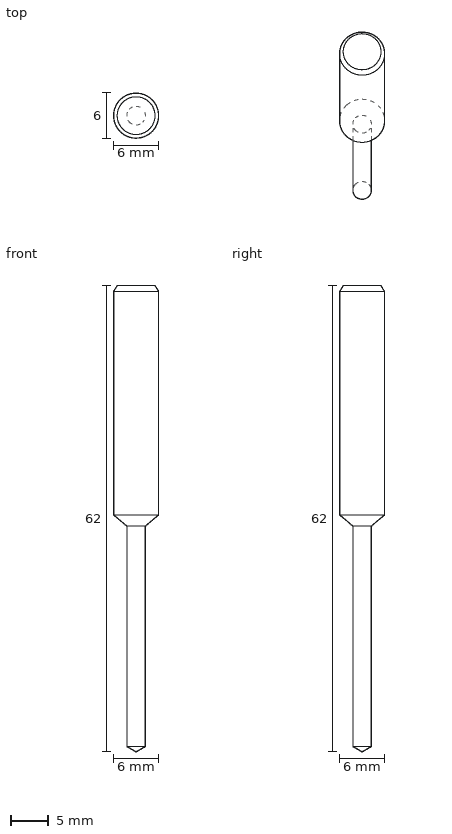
import cadquery as cq
import math

total_length = 62.0
shank_diameter = 6.0
drill_diameter = 2.5

neck_bottom_height = 30.0
neck_height = 1.5
top_chamfer_width = 0.5
top_chamfer_height = 0.8

point_angle = 120.0
point_height = drill_diameter / 2 / math.tan(math.radians(point_angle / 2))


def revolve_profile(points):
    """Revolve a closed (radius, height) outline around the Z axis."""
    outline = cq.Workplane("XZ").polyline(points).close()
    return outline.revolve(360, (0, 0, 0), (0, 1, 0))


def make_shank():
    radius = shank_diameter / 2
    return revolve_profile([
        (0, neck_bottom_height),
        (drill_diameter / 2, neck_bottom_height),
        (radius, neck_bottom_height + neck_height),
        (radius, total_length - top_chamfer_height),
        (radius - top_chamfer_width, total_length),
        (0, total_length),
    ])


def make_drill():
    """Drill whose flat upper end meets the underside of the neck."""
    radius = drill_diameter / 2
    return revolve_profile([
        (0, 0),
        (radius, point_height),
        (radius, neck_bottom_height),
        (0, neck_bottom_height),
    ])


shank = make_shank()
drill = make_drill()
result = cq.Compound.makeCompound([shank.val(), drill.val()])